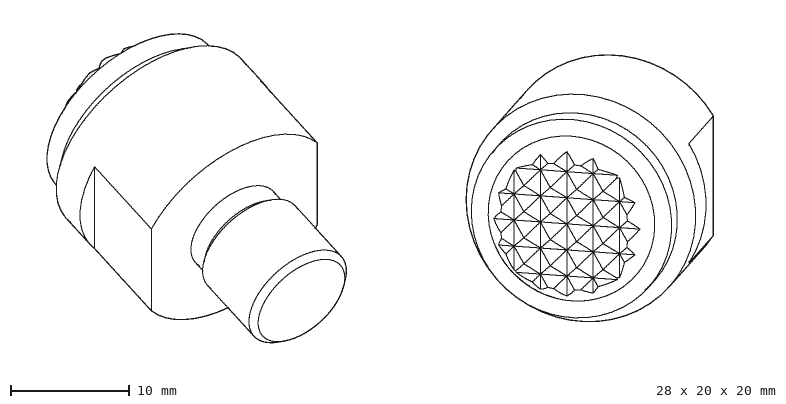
import cadquery as cq
import math

LENGTH = 28.0

BARREL_DIA = 20.0
COLLAR_DIA = 17.45
STUD_DIA = 10.0
NECK_DIA = 8.9
STUD_END_CHAMFER = 0.55
STUD_LENGTH = 10.0
NECK_LENGTH = 2.0
BARREL_LENGTH = 12.0
COLLAR_LENGTH = 1.95
FLAT_ACROSS = 17.0
FLAT_LENGTH = 8.45

BALL_RADIUS = 7.85
BALL_CENTRE_X = 5.75
TOOTH_PITCH = 2.3
GROOVE_COUNT = 5

barrel_radius = BARREL_DIA / 2
collar_radius = COLLAR_DIA / 2
stud_radius = STUD_DIA / 2
neck_radius = NECK_DIA / 2
cone_length = barrel_radius - collar_radius
neck_chamfer = stud_radius - neck_radius
shoulder_x = LENGTH - STUD_LENGTH
barrel_start_x = shoulder_x - BARREL_LENGTH
collar_end_x = barrel_start_x - cone_length
face_x = collar_end_x - COLLAR_LENGTH
neck_end_x = shoulder_x + NECK_LENGTH
groove_depth = TOOTH_PITCH / 2


def make_ball_blank(front_x):
    """Sphere about the X axis, cut off square at front_x."""
    front_radius = math.sqrt(BALL_RADIUS**2 - (BALL_CENTRE_X - front_x) ** 2)
    return (
        cq.Workplane("XZ")
        .moveTo(front_x, 0)
        .lineTo(front_x, front_radius)
        .threePointArc((BALL_CENTRE_X, BALL_RADIUS), (BALL_CENTRE_X + BALL_RADIUS, 0))
        .close()
        .revolve(360, (0, 0, 0), (1, 0, 0))
    )


def make_turned_body():
    """Housing outline revolved about the X axis."""
    profile = [
        (face_x, 0),
        (face_x, collar_radius),
        (collar_end_x, collar_radius),
        (barrel_start_x, barrel_radius),
        (shoulder_x, barrel_radius),
        (shoulder_x, neck_radius),
        (neck_end_x, neck_radius),
        (neck_end_x + neck_chamfer, stud_radius),
        (LENGTH - STUD_END_CHAMFER, stud_radius),
        (LENGTH, stud_radius - STUD_END_CHAMFER),
        (LENGTH, 0),
    ]
    return cq.Workplane("XY").polyline(profile).close().revolve(360, (0, 0, 0), (1, 0, 0))


def make_flat_cutter(side):
    """Block that cuts one wrench flat; side is +1 or -1 along Y."""
    depth = (BARREL_DIA - FLAT_ACROSS) / 2
    block = cq.Workplane("XY").box(FLAT_LENGTH, depth, BARREL_DIA)
    return block.translate((shoulder_x - FLAT_LENGTH / 2, side * (FLAT_ACROSS + depth) / 2, 0))


def make_housing():
    """Turned body with wrench flats and a spherical socket open at the collar face."""
    body = make_turned_body()
    for side in (-1, 1):
        body = body.cut(make_flat_cutter(side))
    return body.cut(make_ball_blank(face_x))


def make_groove(offset):
    """V-shaped cutter running along Z, centred at Y = offset."""
    profile = [
        (0, offset - groove_depth),
        (groove_depth, offset),
        (0, offset + groove_depth),
    ]
    return cq.Workplane("XY").polyline(profile).close().extrude(BALL_RADIUS, both=True)


def make_ball():
    """Ball cut flat at the tooth tips and crossed by two sets of V grooves."""
    ball = make_ball_blank(0)
    for index in range(GROOVE_COUNT):
        offset = (index - (GROOVE_COUNT - 1) / 2) * TOOTH_PITCH
        groove = make_groove(offset)
        crossing_groove = groove.rotate((0, 0, 0), (1, 0, 0), 90)
        ball = ball.cut(groove).cut(crossing_groove)
    return ball


housing = make_housing()
ball = make_ball()

result = cq.Compound.makeCompound([housing.solids().val(), ball.solids().val()])